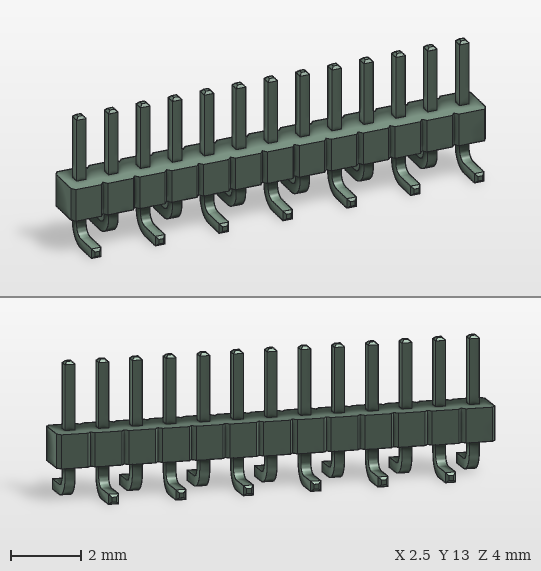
import cadquery as cq

pin_count = 13
body_length = 13.0
pitch = body_length / pin_count

body_width = 1.3
body_height = 1.0
body_bottom = 1.0
notch_depth = 0.13
notch_half_width = 0.1

wire = 0.3
total_height = 4.0
foot_reach = 1.25
bend_inner_radius = 0.3
tip_length = 0.08
tip_width = 0.14


def make_body():
    """Extruded bar with a V notch between pins and matching chamfers at the ends."""
    half_width = body_width / 2
    half_length = body_length / 2
    waist = half_width - notch_depth

    right_side = [(waist, -half_length), (half_width, -half_length + notch_half_width)]
    for i in range(1, pin_count):
        y = -half_length + i * pitch
        right_side += [
            (half_width, y - notch_half_width),
            (waist, y),
            (half_width, y + notch_half_width),
        ]
    right_side += [(half_width, half_length - notch_half_width), (waist, half_length)]
    left_side = [(-x, y) for x, y in reversed(right_side)]

    return (
        cq.Workplane("XY", origin=(0, 0, body_bottom))
        .polyline(right_side + left_side)
        .close()
        .extrude(body_height)
    )


def make_tip(base_center, direction):
    """Square frustum that starts at base_center and narrows along direction."""
    base = cq.Plane(origin=base_center, xDir=(0, 1, 0), normal=direction)
    return (
        cq.Workplane(base)
        .rect(wire, wire)
        .workplane(offset=tip_length)
        .rect(tip_width, tip_width)
        .loft(combine=True)
    )


def make_pin():
    """Upright pin at the origin, bent at the bottom into a foot toward +X."""
    half_wire = wire / 2
    bend_mid_radius = bend_inner_radius + half_wire
    bend_center_x = bend_mid_radius
    bend_center_z = half_wire + bend_mid_radius
    post_top = total_height - tip_length
    foot_end = foot_reach - tip_length

    center_line = (
        cq.Workplane("XZ")
        .moveTo(0, post_top)
        .lineTo(0, bend_center_z)
        .radiusArc((bend_center_x, half_wire), -bend_mid_radius)
        .lineTo(foot_end, half_wire)
    )
    bent_wire = cq.Workplane("XY", origin=(0, 0, post_top)).rect(wire, wire).sweep(center_line)
    post_tip = make_tip((0, 0, post_top), (0, 0, 1))
    foot_tip = make_tip((foot_end, 0, half_wire), (1, 0, 0))
    return bent_wire.union(post_tip).union(foot_tip)


result = make_body()
pin = make_pin()
mirrored_pin = pin.mirror("YZ")
for i in range(pin_count):
    pin_y = (i + 0.5) * pitch - body_length / 2
    row_pin = pin if i % 2 == 0 else mirrored_pin
    result = result.union(row_pin.translate((0, pin_y, 0)))